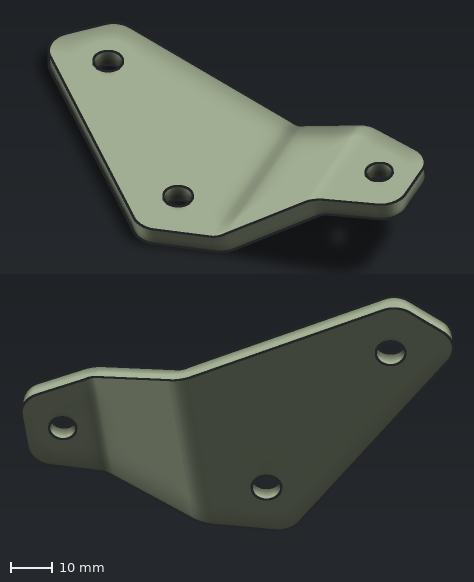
import math

import cadquery as cq

thickness = 4.7625
inner_bend_radius = 4.7625
neutral_fraction = 0.5
corner_radius = 6.35

edge_margin = 12.7
base_hole_spacing = 50.8
base_hole_diameter = 7.2
upper_edge_angle = math.radians(30)
right_edge_angle = math.radians(60)

first_bend_distance = 67.5
wall_angle = math.radians(35)
wall_length = 23.31
tab_angle = math.radians(3)
tab_length = 16.95
tab_hole_setback = 9.4
tab_hole_diameter = 6.6

left_hole_x = edge_margin
right_hole_x = left_hole_x + base_hole_spacing

upper_corner_y = edge_margin * (1 - math.tan(upper_edge_angle) + 1 / math.cos(upper_edge_angle))
right_corner_x = right_hole_x + edge_margin * (1 / math.sin(right_edge_angle) - 1 / math.tan(right_edge_angle))

upper_slope = math.tan(upper_edge_angle)
right_slope = math.tan(right_edge_angle)
apex_x = (upper_corner_y + right_slope * right_corner_x) / (right_slope - upper_slope)
apex_y = upper_corner_y + upper_slope * apex_x

arm_direction = (upper_edge_angle + right_edge_angle) / 2
taper = math.tan((right_edge_angle - upper_edge_angle) / 2)
along_x = math.cos(arm_direction)
along_y = math.sin(arm_direction)
apex_distance = apex_x * along_x + apex_y * along_y
first_half_width = (apex_distance - first_bend_distance) * taper

arm_frame = cq.Plane(
    origin=(apex_x - apex_distance * along_x, apex_y - apex_distance * along_y, 0),
    xDir=(along_x, along_y, 0),
    normal=(0, 0, 1),
)


def section_point(start, angle, forward, up):
    """Move from a (distance, height) point along a sheet tilted by angle, and square to it."""
    distance = start[0] + forward * math.cos(angle) - up * math.sin(angle)
    height = start[1] + forward * math.sin(angle) + up * math.cos(angle)
    return distance, height


def arm_point(section, across):
    return arm_frame.toWorldCoords((section[0], across, section[1]))


def sheet_plane(start, angle):
    """Plane on the underside of a flat stretch, with x along the arm and y across it."""
    x_dir = (math.cos(angle) * along_x, math.cos(angle) * along_y, math.sin(angle))
    normal = (-math.sin(angle) * along_x, -math.sin(angle) * along_y, math.cos(angle))
    return cq.Plane(origin=arm_point(start, 0).toTuple(), xDir=x_dir, normal=normal)


def make_base():
    upper_bend_end = arm_point((first_bend_distance, 0), first_half_width)
    lower_bend_end = arm_point((first_bend_distance, 0), -first_half_width)
    plate = (
        cq.Workplane("XY")
        .polyline([
            (0, 0),
            (right_corner_x, 0),
            (lower_bend_end.x, lower_bend_end.y),
            (upper_bend_end.x, upper_bend_end.y),
            (0, upper_corner_y),
        ])
        .close()
        .extrude(thickness)
    )
    for corner in [(0, 0), (right_corner_x, 0), (0, upper_corner_y)]:
        nearest = cq.selectors.NearestToPointSelector((*corner, thickness / 2))
        plate = plate.edges("|Z").edges(nearest).fillet(corner_radius)
    holes = (
        cq.Workplane("XY")
        .pushPoints([(left_hole_x, edge_margin), (right_hole_x, edge_margin)])
        .circle(base_hole_diameter / 2)
        .extrude(thickness)
    )
    return plate.cut(holes)


def make_flat(start, angle, length, half_width):
    """Tapered flat stretch; returns it with the point and half width at its far end."""
    end_half_width = half_width - length * taper
    flat = (
        cq.Workplane(sheet_plane(start, angle))
        .polyline([
            (0, -half_width),
            (length, -end_half_width),
            (length, end_half_width),
            (0, half_width),
        ])
        .close()
        .extrude(thickness)
    )
    return flat, section_point(start, angle, length, 0), end_half_width


def make_bend(start, start_angle, end_angle, half_width):
    """Bend whose sides narrow evenly with the turn, as a tapered blank does when it is folded."""
    turn = end_angle - start_angle
    upward = turn > 0
    center_height = thickness + inner_bend_radius if upward else -inner_bend_radius
    neutral_radius = inner_bend_radius + neutral_fraction * thickness
    end_half_width = half_width - neutral_radius * abs(turn) * taper
    center = section_point(start, start_angle, 0, center_height)

    def corner(fraction, height, side):
        angle = start_angle + fraction * turn
        across = side * (half_width + fraction * (end_half_width - half_width))
        return arm_point(section_point(center, angle, 0, height - center_height), across)

    steps = 6
    rim = [(0, -1), (thickness, -1), (thickness, 1), (0, 1)]
    edges = [
        cq.Edge.makeSpline([corner(i / steps, height, side) for i in range(steps + 1)])
        for height, side in rim
    ]
    faces = [cq.Face.makeRuledSurface(edges[i - 1], edges[i]) for i in range(len(edges))]
    for fraction in (0, 1):
        corners = [corner(fraction, height, side) for height, side in rim]
        faces.append(cq.Face.makeFromWires(cq.Wire.makePolygon(corners, close=True)))
    bend = cq.Solid.makeSolid(cq.Shell.makeShell(faces))
    return cq.Workplane(bend), section_point(center, end_angle, 0, -center_height), end_half_width


def make_tab(start, half_width):
    tab, _, end_half_width = make_flat(start, tab_angle, tab_length, half_width)
    plane = sheet_plane(start, tab_angle)
    for side in (-1, 1):
        middle = plane.toWorldCoords((tab_length, side * end_half_width, thickness / 2))
        tab = tab.edges(cq.selectors.NearestToPointSelector(middle.toTuple())).fillet(corner_radius)
    hole = (
        cq.Workplane(plane)
        .center(tab_length - tab_hole_setback, 0)
        .circle(tab_hole_diameter / 2)
        .extrude(thickness)
    )
    return tab.cut(hole)


first_bend, wall_start, wall_half_width = make_bend(
    (first_bend_distance, 0), 0, wall_angle, first_half_width
)
wall, wall_end, wall_end_half_width = make_flat(wall_start, wall_angle, wall_length, wall_half_width)
second_bend, tab_start, tab_half_width = make_bend(
    wall_end, wall_angle, tab_angle, wall_end_half_width
)
tab = make_tab(tab_start, tab_half_width)

result = make_base().union(first_bend).union(wall).union(second_bend).union(tab)